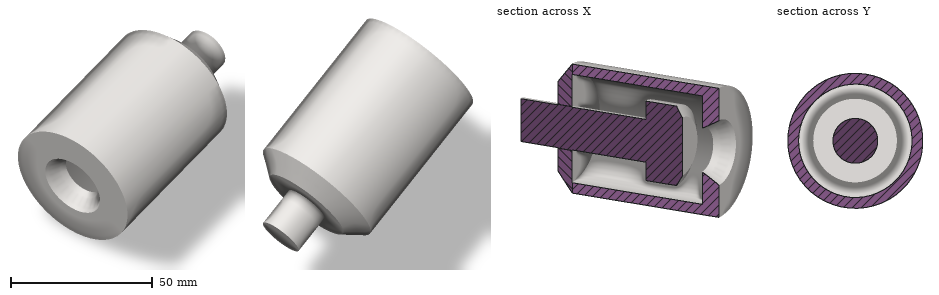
import cadquery as cq

OUTER_DIAMETER = 48.0
TOTAL_LENGTH = 81.0
ROD_PROJECTION = 15.0
FRONT_Y = -TOTAL_LENGTH / 2
BACK_Y = TOTAL_LENGTH / 2
HOUSING_BACK_Y = BACK_Y - ROD_PROJECTION

SHOULDER_LENGTH = 6.0
SHOULDER_END_DIAMETER = 33.0

MOUTH_DIAMETER = 24.0
BORE_DIAMETER = 16.0
MOUTH_DEPTH = 7.0
CHAMBER_DIAMETER = 40.0
CHAMBER_FRONT_Y = FRONT_Y + MOUTH_DEPTH
CHAMBER_BACK_Y = HOUSING_BACK_Y - SHOULDER_LENGTH

PISTON_SETBACK = 15.0
PISTON_DIAMETER = 29.65
ROD_DIAMETER = BORE_DIAMETER
PISTON_FRONT_Y = FRONT_Y + PISTON_SETBACK
PISTON_LENGTH = 15.0
PISTON_CHAMFER_WIDTH = 4.05
PISTON_CHAMFER_LENGTH = 2.4
PISTON_BACK_Y = PISTON_FRONT_Y + PISTON_LENGTH


def revolve_profile(points):
    """Turn a closed (radius, y) outline about the Y axis."""
    return cq.Workplane("XY").polyline(points).close().revolve(360, (0, 0, 0), (0, 1, 0))


def make_housing():
    """Open-backed cylinder with a countersunk mouth and an inner chamber."""
    return revolve_profile([
        (MOUTH_DIAMETER / 2, FRONT_Y),
        (OUTER_DIAMETER / 2, FRONT_Y),
        (OUTER_DIAMETER / 2, CHAMBER_BACK_Y),
        (CHAMBER_DIAMETER / 2, CHAMBER_BACK_Y),
        (CHAMBER_DIAMETER / 2, CHAMBER_FRONT_Y),
        (BORE_DIAMETER / 2, CHAMBER_FRONT_Y),
    ])


def make_cap():
    """Conical cap that closes the chamber and guides the rod."""
    return revolve_profile([
        (ROD_DIAMETER / 2, CHAMBER_BACK_Y),
        (OUTER_DIAMETER / 2, CHAMBER_BACK_Y),
        (SHOULDER_END_DIAMETER / 2, HOUSING_BACK_Y),
        (ROD_DIAMETER / 2, HOUSING_BACK_Y),
    ])


def make_piston():
    """Chamfered piston head with its rod passing out through the cap."""
    return revolve_profile([
        (0, PISTON_FRONT_Y),
        (PISTON_DIAMETER / 2 - PISTON_CHAMFER_WIDTH, PISTON_FRONT_Y),
        (PISTON_DIAMETER / 2, PISTON_FRONT_Y + PISTON_CHAMFER_LENGTH),
        (PISTON_DIAMETER / 2, PISTON_BACK_Y),
        (ROD_DIAMETER / 2, PISTON_BACK_Y),
        (ROD_DIAMETER / 2, BACK_Y),
        (0, BACK_Y),
    ])


housing = make_housing()
cap = make_cap()
piston = make_piston()
result = cq.Compound.makeCompound([housing.val(), cap.val(), piston.val()])